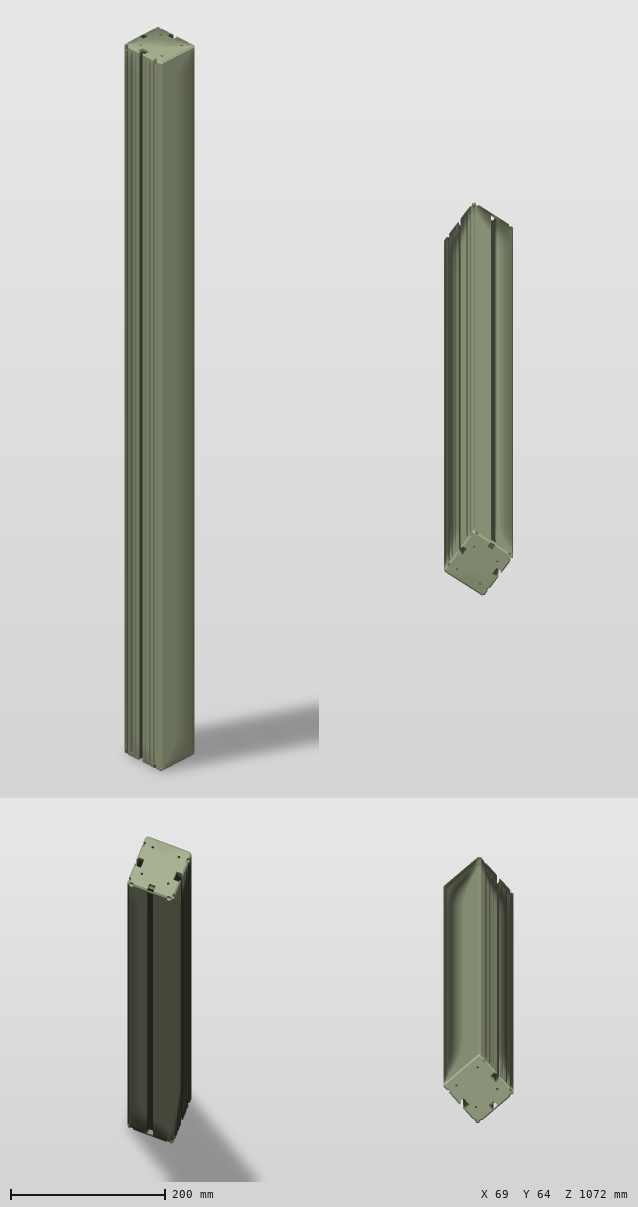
import cadquery as cq

LENGTH = 1072.0
PROFILE_SIDE = 64.0
COVER_THICKNESS = 5.0
TOTAL_WIDTH = PROFILE_SIDE + COVER_THICKNESS
CAP_THICKNESS = 8.0
BAR_LENGTH = LENGTH - 2 * CAP_THICKNESS

SLOT_MOUTH = 6.0
SLOT_WIDTH = 12.0
SLOT_LIP = 1.6
SLOT_DEPTH = 10.0

BACK_GROOVE_WIDTH = 10.0
BACK_GROOVE_DEPTH = 6.0

GROOVES = [(8.0, 1.6), (15.0, 3.0), (23.0, 3.0)]
GROOVE_DEPTH = 1.6
CORNER_STEP = 3.0

CORNER_CHAMFER = 2.7
RIM_CHAMFER = 2.0

NOTCH_MARGIN = 3.8
NOTCH_WIDTH = 4.8
NOTCH_DEPTH = 3.0
WINDOW_WALL = 1.3
WINDOW_DEPTH = 9.0
WINDOW_WIDTH = 9.0
HOLE_DIAMETER = 3.0
HOLE_SPACING_X = 39.0
HOLE_SPACING_Y = 36.0
HOLE_CENTRE_X = 3.0

BACK_X = -TOTAL_WIDTH / 2
SEAM_X = BACK_X + PROFILE_SIDE
PROFILE_X = BACK_X + PROFILE_SIDE / 2
HALF_SIDE = PROFILE_SIDE / 2
NOTCH_OFFSET = HALF_SIDE - NOTCH_MARGIN - NOTCH_WIDTH / 2


def block(x_min, x_max, y_min, y_max, height):
    """Box with the given plan limits, centred on Z = 0."""
    centred = cq.Workplane().box(x_max - x_min, y_max - y_min, height)
    return centred.translate(((x_min + x_max) / 2, (y_min + y_max) / 2, 0))


def face_cut(offset, width, depth_from, depth_to):
    """Full-length cutter in the -Y face of the profile, placed from the profile's own axis."""
    return block(
        offset - width / 2, offset + width / 2, depth_from - HALF_SIDE, depth_to - HALF_SIDE, LENGTH
    )


def turned(cutter, angle):
    """Turn a -Y face cutter about the profile's axis and move it to the profile."""
    return cutter.rotate((0, 0, 0), (0, 0, 1), angle).translate((PROFILE_X, 0, 0))


def t_slot():
    mouth = face_cut(0, SLOT_MOUTH, 0, SLOT_DEPTH)
    channel = face_cut(0, SLOT_WIDTH, SLOT_LIP, SLOT_DEPTH)
    return mouth.union(channel)


def make_profile():
    profile = block(BACK_X, SEAM_X, -HALF_SIDE, HALF_SIDE, BAR_LENGTH)
    for angle in (0, 180):
        profile = profile.cut(turned(t_slot(), angle))
        for inner_edge, width in GROOVES:
            offset = inner_edge + width / 2
            for side in (-1, 1):
                groove = face_cut(side * offset, width, 0, GROOVE_DEPTH)
                profile = profile.cut(turned(groove, angle))
    back_groove = face_cut(0, BACK_GROOVE_WIDTH, 0, BACK_GROOVE_DEPTH)
    profile = profile.cut(turned(back_groove, 270))
    corner = face_cut(HALF_SIDE - CORNER_STEP / 2, CORNER_STEP, 0, CORNER_STEP)
    for angle in (0, 90, 180, 270):
        profile = profile.cut(turned(corner, angle))
    return profile


def make_cover():
    cover = block(SEAM_X, -BACK_X, -HALF_SIDE, HALF_SIDE, BAR_LENGTH)
    step_x = SEAM_X - CORNER_STEP
    step_y = HALF_SIDE - CORNER_STEP
    for y_min, y_max in ((-HALF_SIDE, -step_y), (step_y, HALF_SIDE)):
        cover = cover.union(block(step_x, SEAM_X, y_min, y_max, BAR_LENGTH))
    return cover.edges("|Z and >X").chamfer(CORNER_CHAMFER)


def make_top_cap():
    cap = block(BACK_X, -BACK_X, -HALF_SIDE, HALF_SIDE, CAP_THICKNESS)
    cap = cap.edges("|Z").chamfer(CORNER_CHAMFER).faces(">Z").edges().chamfer(RIM_CHAMFER)
    for angle in (0, 180):
        cap = cap.cut(turned(t_slot(), angle))
    window_x = BACK_X + WINDOW_WALL
    window = block(window_x, window_x + WINDOW_DEPTH, -WINDOW_WIDTH / 2, WINDOW_WIDTH / 2, LENGTH)
    cap = cap.cut(window)
    for angle in (0, 180, 270):
        for side in (-1, 1):
            notch = face_cut(side * NOTCH_OFFSET, NOTCH_WIDTH, 0, NOTCH_DEPTH)
            cap = cap.cut(turned(notch, angle))
    holes = (
        cq.Workplane()
        .center(HOLE_CENTRE_X, 0)
        .rect(HOLE_SPACING_X, HOLE_SPACING_Y, forConstruction=True)
        .vertices()
        .circle(HOLE_DIAMETER / 2)
        .extrude(CAP_THICKNESS, both=True)
    )
    cap = cap.cut(holes)
    return cap.translate((0, 0, (LENGTH - CAP_THICKNESS) / 2))


profile = make_profile()
cover = make_cover()
top_cap = make_top_cap()
bottom_cap = top_cap.mirror("XY")

result = cq.Compound.makeCompound([profile.val(), cover.val(), top_cap.val(), bottom_cap.val()])